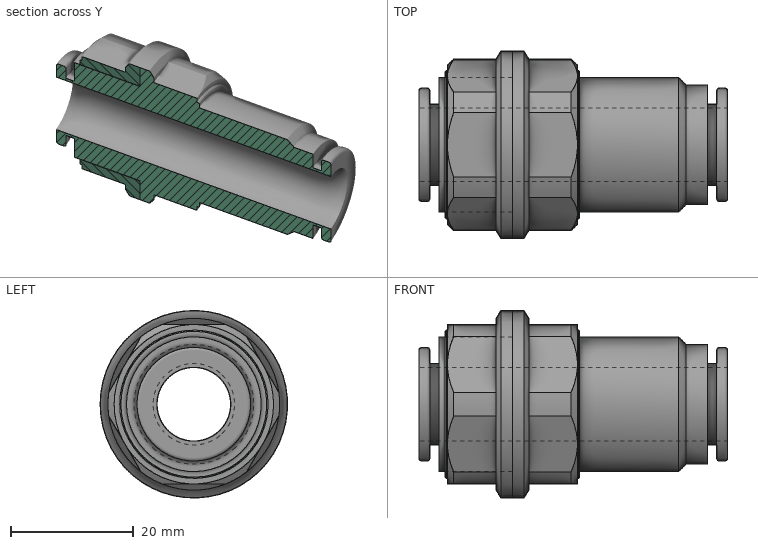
import cadquery as cq
import math


total_length = 50.25
seat_x = 15.2
bore_radius = 6.0

sleeve_collar_radius = 9.25
sleeve_collar_width = 1.8
sleeve_collar_round = 0.5
sleeve_neck_radius = 6.65
sleeve_length = 3.25

barrel_radius = 10.95
nose_radius = 9.75
nose_length = 3.5
nose_start_x = total_length - sleeve_length - nose_length
shoulder_chamfer = barrel_radius - nose_radius

across_flats = 25.85
corner_radius = 13.95
corner_chamfer = 1.0
flange_diameter = 30.5
flange_radius = flange_diameter / 2
flange_width = 2.65
flange_chamfer_width = 0.8
grip_length = 10.55
land_radius = 12.05
land_height = 0.4
land_chamfer = 0.2

hexagon_circle_diameter = across_flats / math.cos(math.radians(30))


def disc(start_x, length, radius):
    """Solid cylinder along X."""
    return cq.Workplane("YZ", origin=(start_x, 0, 0)).circle(radius).extrude(length)


def hex_grip():
    """Flange starting at the seat plane, then the hexagon and its end land, towards +X."""
    flange = disc(seat_x, flange_width, flange_radius)
    flange = flange.faces(">X").edges().chamfer(flange_chamfer_width, flange_radius - corner_radius)

    hexagon = cq.Workplane("YZ", origin=(seat_x, 0, 0)).polygon(6, hexagon_circle_diameter).extrude(grip_length)
    turned_blank = disc(seat_x, grip_length, corner_radius).faces(">X").chamfer(corner_chamfer)

    land = disc(seat_x + grip_length, land_height, land_radius).faces(">X").chamfer(land_chamfer)
    return flange.union(hexagon.intersect(turned_blank)).union(land)


def release_sleeve(outer_end_x, inward):
    """Sleeve whose collar begins at an end of the part; inward is +1 or -1 along X."""
    neck = disc(outer_end_x, inward * sleeve_length, sleeve_neck_radius)
    collar = disc(outer_end_x, inward * sleeve_collar_width, sleeve_collar_radius)
    collar = collar.edges("%CIRCLE").fillet(sleeve_collar_round)
    return neck.union(collar)


def make_housing():
    """Barrel with its hexagonal grip, both release sleeves and the through bore."""
    barrel_length = nose_start_x - sleeve_length
    barrel = disc(sleeve_length, barrel_length, barrel_radius).faces(">X").chamfer(shoulder_chamfer)
    nose = disc(nose_start_x, nose_length, nose_radius)
    body = barrel.union(nose).union(hex_grip())
    body = body.union(release_sleeve(0, 1)).union(release_sleeve(total_length, -1))
    return body.cut(disc(0, total_length, bore_radius))


def make_nut():
    """Mirror image of the housing's grip, bored to fit over the barrel."""
    grip = hex_grip().mirror("YZ", (seat_x, 0, 0))
    return grip.cut(disc(0, seat_x, barrel_radius))


housing = make_housing()
nut = make_nut()

result = cq.Compound.makeCompound([housing.val(), nut.val()])